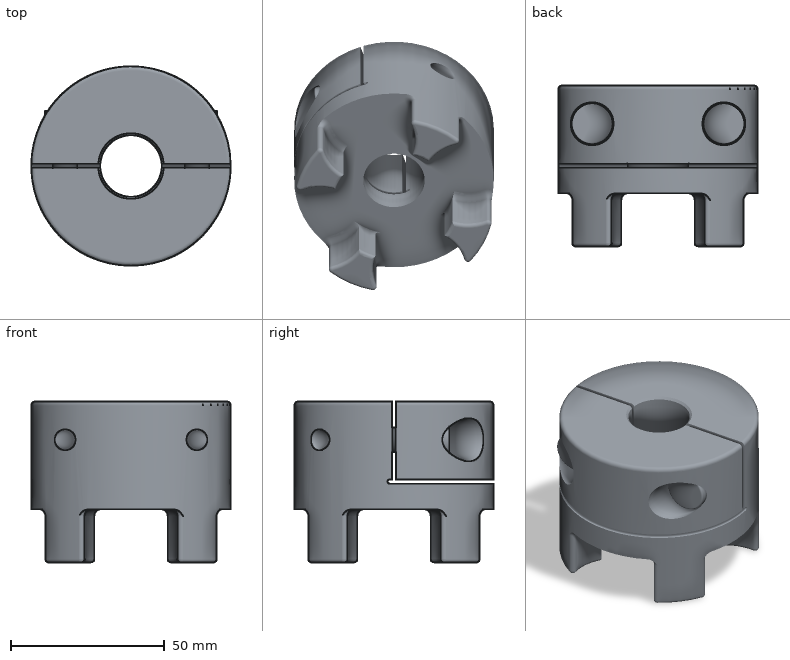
import cadquery as cq
import math

outer_radius = 32.5
total_height = 52.5
bore_radius = 10.0
bore_chamfer = 0.7
rim_fillet = 1.3

jaw_count = 4
jaw_length = 17.3
jaw_inner_radius = 20.0
gap_radius = 15.2
gap_center_radius = 25.5
jaw_root_fillet = 2.2
jaw_edge_fillet = 1.2
jaw_tip_fillet = 1.1
gap_run_out = 3.5

cut_width = 1.3
level_cut_z = total_height - 26.1
level_cut_end_y = -2.05

screw_positions = (-21.45, 21.45)
screw_z = total_height - 12.5
shank_radius = 4.0
head_radius = 6.65
head_height = 8.0
head_edge_fillet = 0.5
head_seat_y = 10.0
screw_length = 30.0
tap_hole_radius = 3.4
counterbore_radius = 7.0

screw_tip_y = head_seat_y - screw_length
cut_half = cut_width / 2
level_cut_end_rounding = cut_half - 0.01
beyond = 2 * outer_radius


def cylinder_along_y(x, radius, y_start, y_end):
    """Cylinder on a screw axis, running from y_start to y_end."""
    start = cq.Vector(x, y_start, screw_z)
    return cq.Workplane(cq.Solid.makeCylinder(radius, y_end - y_start, start, cq.Vector(0, 1, 0)))


def make_gap():
    """Void beside the +X axis: a round gap whose mouth rolls over onto the outer cylinder.

    The mouth arcs shape the outer corners of the two neighbouring jaws. Each one ends tangent
    to the outer cylinder and is carried on by a straight run that lies clear of the hub.
    """
    center_reach = outer_radius - jaw_edge_fillet
    gap_reach = gap_radius + jaw_edge_fillet
    center_x = (center_reach**2 - gap_reach**2 + gap_center_radius**2) / (2 * gap_center_radius)
    center_y = math.sqrt(center_reach**2 - center_x**2)
    center_angle = math.atan2(center_y, center_x)
    gap_angle = math.atan2(center_y, center_x - gap_center_radius)

    mid_angle = (center_angle + gap_angle - math.pi) / 2
    gap_end = (
        gap_center_radius + gap_radius * math.cos(gap_angle),
        gap_radius * math.sin(gap_angle),
    )
    mouth_mid = (
        center_x + jaw_edge_fillet * math.cos(mid_angle),
        center_y + jaw_edge_fillet * math.sin(mid_angle),
    )
    mouth_end = (
        outer_radius * math.cos(center_angle),
        outer_radius * math.sin(center_angle),
    )
    run_end = (
        mouth_end[0] - gap_run_out * math.sin(center_angle),
        mouth_end[1] + gap_run_out * math.cos(center_angle),
    )
    far_corner = (beyond, run_end[1])

    def mirrored(point):
        return (point[0], -point[1])

    outline = (
        cq.Workplane()
        .moveTo(*mirrored(gap_end))
        .threePointArc((gap_center_radius - gap_radius, 0), gap_end)
        .threePointArc(mouth_mid, mouth_end)
        .lineTo(*run_end)
        .lineTo(*far_corner)
        .lineTo(*mirrored(far_corner))
        .lineTo(*mirrored(run_end))
        .lineTo(*mirrored(mouth_end))
        .threePointArc(mirrored(mouth_mid), mirrored(gap_end))
        .close()
    )
    return outline.extrude(jaw_length).faces(">Z").edges("<X").fillet(jaw_root_fillet)


def cut_jaws(body):
    """Hollow the lower end, open the gaps between the jaws and round the jaw tips."""
    body = body.cut(cq.Workplane().circle(jaw_inner_radius).extrude(jaw_length))
    gap = make_gap()
    for index in range(jaw_count):
        body = body.cut(gap.rotate((0, 0, 0), (0, 0, 1), index * 360 / jaw_count))
    return body.faces("<Z").edges().fillet(jaw_tip_fillet)


def make_blank():
    """Complete hub with its bore and jaws, before the saw cuts and screw holes."""
    body = cq.Workplane().circle(outer_radius).extrude(total_height)
    body = body.faces(">Z").edges().fillet(rim_fillet)
    body = cut_jaws(body)
    bore = cq.Workplane().circle(bore_radius).extrude(total_height)
    mouth = cq.Solid.makeCone(
        bore_radius,
        bore_radius + bore_chamfer,
        bore_chamfer,
        cq.Vector(0, 0, total_height - bore_chamfer),
    )
    return body.cut(bore).cut(cq.Workplane(mouth))


def make_shank(x):
    """Screw shank whose tip is chamfered down to the tap hole size."""
    shank = cylinder_along_y(x, shank_radius, screw_tip_y, head_seat_y)
    return shank.faces("<Y").edges().chamfer(shank_radius - tap_hole_radius)


def drill_screw_holes(body):
    """Stepped screw holes: a tap hole on -Y, a snug shank fit and a counterbore on +Y."""
    for x in screw_positions:
        body = body.cut(cylinder_along_y(x, tap_hole_radius, -outer_radius, screw_tip_y))
        body = body.cut(make_shank(x))
        body = body.cut(cylinder_along_y(x, counterbore_radius, head_seat_y, outer_radius))
    return body


def cap_region():
    """Block above the level cut and behind the upright cut, which holds the cap."""
    cap_height = total_height - level_cut_z - cut_half
    return cq.Workplane(origin=(0, cut_half, level_cut_z + cut_half)).box(
        2 * outer_radius, outer_radius, cap_height, centered=(True, False, False)
    )


def saw_cuts():
    """Upright cut down to the level cut, and the level cut with its rounded end."""
    upright = cq.Workplane(origin=(0, 0, level_cut_z)).box(
        2 * outer_radius, cut_width, total_height - level_cut_z, centered=(True, True, False)
    )
    level = (
        cq.Workplane(origin=(0, level_cut_end_y, level_cut_z - cut_half))
        .box(2 * outer_radius, outer_radius - level_cut_end_y, cut_width, centered=(True, False, False))
        .edges("|X and <Y")
        .fillet(level_cut_end_rounding)
    )
    return upright.union(level)


def make_screw(x):
    """Clamp screw with a plain cylindrical head."""
    head = cylinder_along_y(x, head_radius, head_seat_y, head_seat_y + head_height)
    head = head.faces(">Y").edges().fillet(head_edge_fillet)
    return make_shank(x).union(head)


blank = drill_screw_holes(make_blank())
clamp_cap = blank.intersect(cap_region())
hub = blank.cut(cap_region()).cut(saw_cuts())
screws = [make_screw(x) for x in screw_positions]

result = cq.Compound.makeCompound(
    [hub.val(), clamp_cap.val(), *[screw.val() for screw in screws]]
)